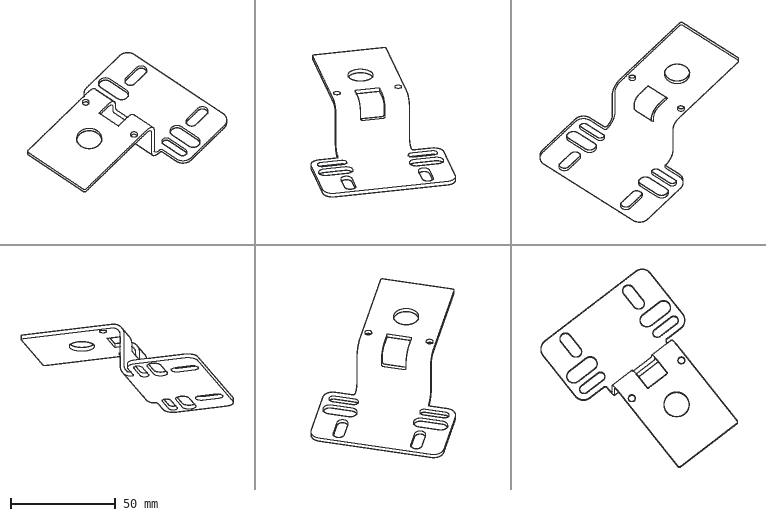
import cadquery as cq

thickness = 2.0
overall_depth = 92.0
overall_height = 28.0
inner_bend_radius = 4.0
outer_bend_radius = inner_bend_radius + thickness

plate_width = 65.0
plate_depth = 35.0
plate_corner_radius = 5.0

strap_width = 36.0
strap_corner_radius = 1.0
neck_fillet_radius = 1.0
wall_back_y = -(plate_depth + neck_fillet_radius + inner_bend_radius)
wall_front_y = wall_back_y - thickness

length_slot_travel = 8.0
length_slot_width = 5.4
length_slot_x = 19.0
length_slot_y = -9.2
cross_slot_travel = 10.0
cross_slot_x = 22.2
wide_cross_slot_width = 6.6
wide_cross_slot_y = -22.0
narrow_cross_slot_width = 4.2
narrow_cross_slot_y = -30.0

main_hole_diameter = 12.0
main_hole_y = -67.0
small_hole_diameter = 3.3
small_hole_pitch = 30.0
small_hole_y = -51.5

window_width = 12.0
window_height = 10.0
window_front_y = -52.4
window_corner_radius = 1.0


def make_strap():
    """Z-shaped strip: lower flange, upright wall and upper shelf joined by two bends."""
    shelf_bottom_z = overall_height - thickness
    profile = (
        cq.Workplane("YZ")
        .moveTo(-plate_depth, 0)
        .lineTo(-plate_depth, thickness)
        .lineTo(wall_back_y + inner_bend_radius, thickness)
        .radiusArc((wall_back_y, outer_bend_radius), inner_bend_radius)
        .lineTo(wall_back_y, overall_height - outer_bend_radius)
        .radiusArc((wall_back_y - outer_bend_radius, overall_height), -outer_bend_radius)
        .lineTo(-overall_depth, overall_height)
        .lineTo(-overall_depth, shelf_bottom_z)
        .lineTo(wall_front_y - inner_bend_radius, shelf_bottom_z)
        .radiusArc((wall_front_y, overall_height - outer_bend_radius), inner_bend_radius)
        .lineTo(wall_front_y, outer_bend_radius)
        .radiusArc((wall_front_y + outer_bend_radius, 0), -outer_bend_radius)
        .close()
    )
    strap = profile.extrude(strap_width / 2, both=True)
    return strap.edges("|Z and <Y").fillet(strap_corner_radius)


def make_plate():
    """Flat mounting plate with rounded corners."""
    return (
        cq.Workplane("XY")
        .center(0, -plate_depth / 2)
        .rect(plate_width, plate_depth)
        .extrude(thickness)
        .edges("|Z")
        .fillet(plate_corner_radius)
    )


def fillet_neck(body):
    """Round the two inside corners where the strap leaves the plate."""
    for side in (-1, 1):
        corner = (side * strap_width / 2, -plate_depth, thickness / 2)
        body = body.edges(cq.selectors.NearestToPointSelector(corner)).fillet(neck_fillet_radius)
    return body


def slot_pair(x, y, travel, width, angle):
    """Cutter for two slots through the plate, mirrored about the YZ plane."""
    return (
        cq.Workplane("XY")
        .pushPoints([(-x, y), (x, y)])
        .slot2D(travel + width, width, angle)
        .extrude(thickness)
    )


def cut_mounting_slots(body):
    body = body.cut(slot_pair(length_slot_x, length_slot_y, length_slot_travel, length_slot_width, 90))
    for y, width in (
        (wide_cross_slot_y, wide_cross_slot_width),
        (narrow_cross_slot_y, narrow_cross_slot_width),
    ):
        body = body.cut(slot_pair(cross_slot_x, y, cross_slot_travel, width, 0))
    return body


def cut_shelf_holes(body):
    shelf = cq.Workplane("XY").workplane(offset=overall_height)
    main_hole = shelf.center(0, main_hole_y).circle(main_hole_diameter / 2).extrude(-thickness)
    small_holes = (
        shelf.center(0, small_hole_y)
        .rarray(small_hole_pitch, 1, 2, 1)
        .circle(small_hole_diameter / 2)
        .extrude(-thickness)
    )
    return body.cut(main_hole).cut(small_holes)


def cut_window(body):
    """Rectangular opening through the upper bend, rounded at its lower corners in the wall."""
    window = (
        cq.Workplane("XY")
        .box(window_width, wall_back_y - window_front_y, window_height, centered=(True, False, False))
        .edges("|Y and <Z")
        .fillet(window_corner_radius)
        .translate((0, window_front_y, overall_height - window_height))
    )
    return body.cut(window)


bracket = make_plate().union(make_strap())
bracket = fillet_neck(bracket)
bracket = cut_mounting_slots(bracket)
bracket = cut_shelf_holes(bracket)
result = cut_window(bracket)